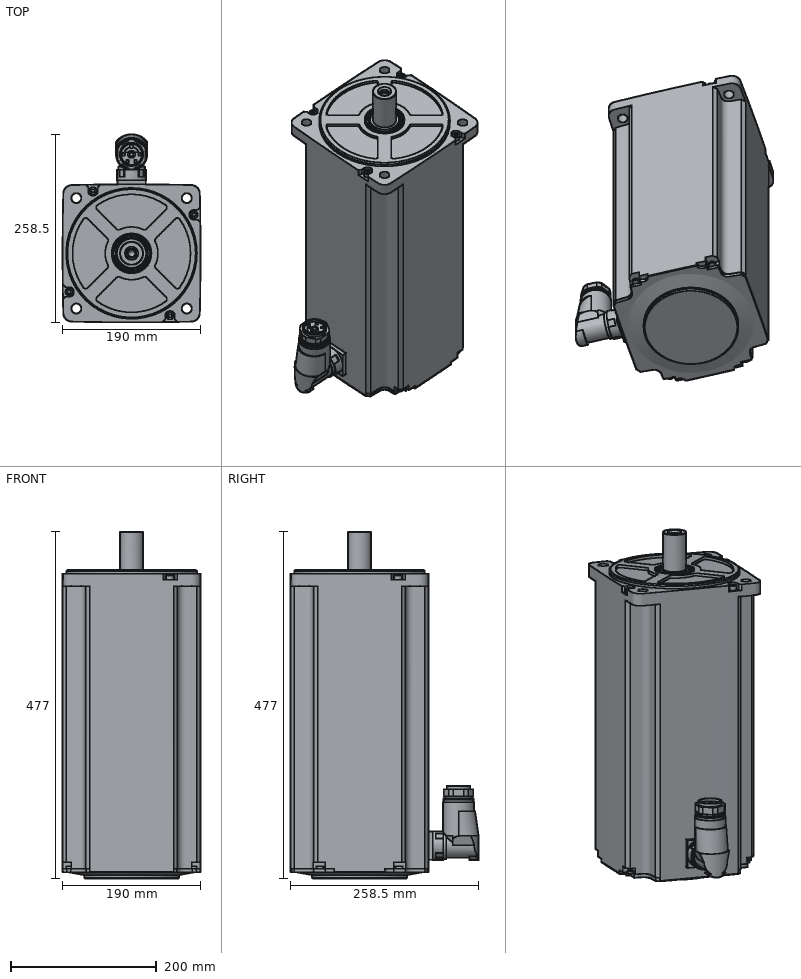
import cadquery as cq
import math

SHAFT_TOP_Z = 477.0
PILOT_TOP_Z = 424.5
FLANGE_TOP_Z = 419.5
FLANGE_BOTTOM_Z = 402.0
COVER_TOP_Z = 14.5
TONGUE_BOTTOM_Z = 10.0
COVER_BOTTOM_Z = 9.0
REAR_DISC_TOP_Z = 5.2

PANEL_CROWN = 95.0
PANEL_BOW_R = 3482.0
PANEL_HALF_WIDTH = 57.5
NOTCH_OUTER = 89.5
NOTCH_MOUTH = 63.0
NOTCH_FLOOR = 65.0
NOTCH_FILLET = 10.0

FLANGE_CORNER_R = 12.5
BOLT_OFFSET = 76.0
BOLT_D = 13.5
SCREW_ALONG = 53.0
SCREW_INSET = 86.0
SCREW_POCKET_D = 13.5
SCREW_POCKET_DEPTH = 8.5
SCREW_POCKET_FLARE = 3.0
SCREW_HEAD_D = 10.0
SCREW_HEAD_HEIGHT = 6.0
SCREW_SOCKET_D = 5.2
SCREW_SOCKET_DEPTH = 3.0

PILOT_D = 180.0
PILOT_CHAMFER = 2.0
RECESS_OUTER_R = 81.0
RECESS_INNER_R = 36.3
RECESS_DEPTH = 4.0
RECESS_CORNER_R = 4.0
SPOKE_WIDTH = 18.0

SEAL_STEPS = [(55.0, 52.0, 1.5), (52.0, 48.5, 4.0), (48.5, 44.0, 2.5), (44.0, 40.0, 4.0)]

SHAFT_D = 32.0
SHAFT_CHAMFER = 0.5
CENTRE_SINK_D = 18.0
CENTRE_RELIEF_D = 13.0
CENTRE_BORE_D = 10.0
CENTRE_SINK_DEPTH = 3.0
CENTRE_RELIEF_DEPTH = 6.5
CENTRE_BORE_DEPTH = 24.0

COVER_INSET = 0.7
TONGUE_HALF_WIDTH = 42.5
TONGUE_SCALLOP_R = 7.5
COVER_CONE_R = 86.0
REAR_DISC_D = 130.5
REAR_DISC_CHAMFER = 2.0
REAR_POCKET_START = 47.0
REAR_POCKET_FLOOR = 82.5
REAR_POCKET_TOP_Z = 23.0
REAR_SCREW_X = 84.5
REAR_SCREW_Y = 54.5
REAR_SCREW_HEIGHT = 3.5

CONNECTOR_AXIS_Z = 46.0
PLUG_AXIS_Y = 136.0
SEAT_Y = 93.0
BASE_TOP_Y = 100.5
COUPLING_TOP_Y = 115.0
COLLAR_TOP_Y = 119.2
BASE_SIZE = 39.0
COUPLING_D = 40.0
COUPLING_SLOT_WIDTH = 9.5
COUPLING_SLOT_DEPTH = 2.0
COUPLING_SLOT_START_Y = 105.0
COUPLING_FIRST_SLOT_ANGLE = 45
COLLAR_D = 37.0
ELBOW_D = 34.0
PLUG_D = 43.0
RING_D = 41.5
UNDERCUT_TOP_Z = 59.5
UNDERCUT_BOTTOM_D = 33.5
SKIRT_WIDTH = 43.5
SKIRT_START_Y = 136.5
SKIRT_TOP_Z = 93.0
SKIRT_TOP_SHOULDER_Y = 139.5
SKIRT_TOP_REAR_Y = 159.0
SKIRT_SHOULDER_Y = 147.5
SKIRT_REAR_Y = 163.5
REAR_SHOULDER_Y = 152.5
UNDERCUT_START_Y = 128.0
FOOT_D = 40.0
FOOT_START_Y = 150.5
FOOT_TOP_Z = 31.0

PLUG_TOP_Z = 105.5
RING_GROOVE_Z = 108.8
RING_GROOVE_HEIGHT = 1.0
RING_GROOVE_DEPTH = 1.5
RING_TOP_Z = 110.5
NUT_BOTTOM_Z = 113.5
NUT_TOP_Z = 123.5
SOCKET_TOP_Z = 128.0
NECK_D = 38.0
NUT_D = 41.0
NUT_ACROSS_FLATS = 38.5
SOCKET_D = 32.5
SOCKET_BORE_D = 28.5
SOCKET_BORE_DEPTH = 4.0
CONTACT_DEPTH = 5.0
CENTRE_CONTACT_D = 10.0
CENTRE_PIN_D = 5.2
KEY_STEP_D = 20.0
KEY_STEP_DEPTH = 1.5
KEY_STEP_OFFSET = 3.0
EARTH_CONTACT_D = 5.2
CONTACT_D = 4.0
CONTACT_CIRCLE_R = 11.0
EARTH_ANGLE = 90
CONTACT_ANGLES = [0, 180, 240, 300]

HEX_SIDES = 6
QUARTER_TURNS = [0, 90, 180, 270]


def bow_depth(across):
    """Distance of a bowed panel from the shaft axis, at a place across its width."""
    return PANEL_CROWN - PANEL_BOW_R + math.sqrt(PANEL_BOW_R**2 - across**2)


def bowed_square_corner():
    """Half side of the square whose corners lie on two neighbouring bowed panels."""
    depth = PANEL_BOW_R - PANEL_CROWN
    return (math.sqrt(2 * PANEL_BOW_R**2 - depth**2) - depth) / 2


FLANGE_HALF = bowed_square_corner()


def cylinder(diameter, bottom_z, top_z, x=0, y=0):
    """Upright cylinder between two heights."""
    return cq.Workplane("XY", (x, y, bottom_z)).circle(diameter / 2).extrude(top_z - bottom_z)


def cylinder_along_y(diameter, start_y, end_y):
    """Horizontal cylinder on the connector's elbow axis."""
    face = cq.Workplane("XZ", (0, start_y, CONNECTOR_AXIS_Z)).circle(diameter / 2)
    return face.extrude(start_y - end_y)


def box_between(x_range, y_range, z_range):
    """Box from its limits along X, Y and Z."""
    spans = [high - low for low, high in (x_range, y_range, z_range)]
    low_corner = (x_range[0], y_range[0], z_range[0])
    return cq.Workplane("XY").box(*spans, centered=False).translate(low_corner)


def turned(shape, angle):
    """Shape turned about the shaft axis."""
    return shape.rotate((0, 0, 0), (0, 0, 1), angle)


def turned_point(x, y, angle):
    """Point turned about the origin by a whole number of quarter turns."""
    c = round(math.cos(math.radians(angle)))
    s = round(math.sin(math.radians(angle)))
    return (c * x - s * y, s * x + c * y)


def section_prism(bottom_z, top_z, inset=0.0):
    """Prism of the housing section: the bowed panels and the corner notches."""
    edge = bow_depth(PANEL_HALF_WIDTH) - inset
    crown = PANEL_CROWN - inset
    half = PANEL_HALF_WIDTH - inset
    outline = cq.Workplane("XY", (0, 0, bottom_z)).moveTo(-half, -edge)
    floor = NOTCH_FLOOR - inset
    mouth = NOTCH_MOUTH - inset
    for angle in QUARTER_TURNS:
        outline = outline.threePointArc(turned_point(0, -crown, angle), turned_point(half, -edge, angle))
        outline = outline.lineTo(*turned_point(mouth, -NOTCH_OUTER, angle))
        outline = outline.lineTo(*turned_point(floor, -floor, angle))
        outline = outline.lineTo(*turned_point(NOTCH_OUTER, -mouth, angle))
        if angle != QUARTER_TURNS[-1]:
            outline = outline.lineTo(*turned_point(edge, -half, angle))
    prism = outline.close().extrude(top_z - bottom_z)
    for x in (-floor, floor):
        for y in (-floor, floor):
            corner = cq.selectors.NearestToPointSelector((x, y, (bottom_z + top_z) / 2))
            prism = prism.edges(corner).fillet(NOTCH_FILLET)
    return prism


def flange():
    """Bowed square mounting flange with its four bolt holes."""
    h = FLANGE_HALF
    plate = (
        cq.Workplane("XY", (0, 0, FLANGE_BOTTOM_Z))
        .moveTo(-h, -h)
        .threePointArc((0, -PANEL_CROWN), (h, -h))
        .threePointArc((PANEL_CROWN, 0), (h, h))
        .threePointArc((0, PANEL_CROWN), (-h, h))
        .threePointArc((-PANEL_CROWN, 0), (-h, -h))
        .close()
        .extrude(FLANGE_TOP_Z - FLANGE_BOTTOM_Z)
        .edges("|Z")
        .fillet(FLANGE_CORNER_R)
    )
    spacing = 2 * BOLT_OFFSET
    holes = cq.Workplane("XY", (0, 0, FLANGE_BOTTOM_Z)).rect(spacing, spacing, forConstruction=True)
    return plate.cut(holes.vertices().circle(BOLT_D / 2).extrude(FLANGE_TOP_Z - FLANGE_BOTTOM_Z))


def screw_pocket():
    """U-shaped pocket open to the flange side, flared at its mouth."""
    floor_z = FLANGE_TOP_Z - SCREW_POCKET_DEPTH
    half = SCREW_POCKET_D / 2
    mouth = half + SCREW_POCKET_FLARE
    flare_start = FLANGE_HALF - SCREW_POCKET_FLARE
    outline = (
        cq.Workplane("XY", (0, 0, floor_z))
        .moveTo(-SCREW_ALONG - half, SCREW_INSET)
        .lineTo(-SCREW_ALONG - half, flare_start)
        .lineTo(-SCREW_ALONG - mouth, FLANGE_HALF)
        .lineTo(-SCREW_ALONG - mouth, PANEL_CROWN)
        .lineTo(-SCREW_ALONG + mouth, PANEL_CROWN)
        .lineTo(-SCREW_ALONG + mouth, FLANGE_HALF)
        .lineTo(-SCREW_ALONG + half, flare_start)
        .lineTo(-SCREW_ALONG + half, SCREW_INSET)
        .threePointArc((-SCREW_ALONG, SCREW_INSET - half), (-SCREW_ALONG - half, SCREW_INSET))
        .close()
    )
    return outline.extrude(SCREW_POCKET_DEPTH)


def flange_screw():
    """Socket screw head standing in a flange pocket."""
    floor_z = FLANGE_TOP_Z - SCREW_POCKET_DEPTH
    head_z = floor_z + SCREW_HEAD_HEIGHT
    head = cylinder(SCREW_HEAD_D, floor_z, head_z, -SCREW_ALONG, SCREW_INSET)
    socket = cq.Workplane("XY", (-SCREW_ALONG, SCREW_INSET, head_z)).polygon(HEX_SIDES, SCREW_SOCKET_D)
    return head.cut(socket.extrude(-SCREW_SOCKET_DEPTH))


def pilot_recess():
    """Recess of the pilot disc in the +Y quarter, bounded by two diagonal spokes."""
    bottom_z = PILOT_TOP_Z - RECESS_DEPTH
    ring = cylinder(2 * RECESS_OUTER_R, bottom_z, PILOT_TOP_Z)
    ring = ring.cut(cylinder(2 * RECESS_INNER_R, bottom_z, PILOT_TOP_Z))
    apex = SPOKE_WIDTH / math.sqrt(2)
    reach = RECESS_OUTER_R + apex
    wedge = cq.Workplane("XY", (0, 0, bottom_z))
    wedge = wedge.polyline([(0, apex), (reach, apex + reach), (-reach, apex + reach)]).close()
    return ring.intersect(wedge.extrude(RECESS_DEPTH)).edges("|Z").fillet(RECESS_CORNER_R)


def pilot():
    """Pilot disc with its recesses and the stepped seal groove."""
    disc = cylinder(PILOT_D, FLANGE_TOP_Z, PILOT_TOP_Z).faces(">Z").edges().chamfer(PILOT_CHAMFER)
    for angle in QUARTER_TURNS:
        disc = disc.cut(turned(pilot_recess(), angle))
    for outer_d, inner_d, depth in SEAL_STEPS:
        step = cylinder(outer_d, PILOT_TOP_Z - depth, PILOT_TOP_Z)
        disc = disc.cut(step.cut(cylinder(inner_d, PILOT_TOP_Z - depth, PILOT_TOP_Z)))
    return disc


def shaft():
    """Shaft end with a protected centre hole."""
    end = cylinder(SHAFT_D, PILOT_TOP_Z, SHAFT_TOP_Z).faces(">Z").edges().chamfer(SHAFT_CHAMFER)
    bore_end_z = SHAFT_TOP_Z - CENTRE_BORE_DEPTH
    hole = (
        cq.Workplane("XZ")
        .moveTo(0, SHAFT_TOP_Z)
        .lineTo(CENTRE_SINK_D / 2, SHAFT_TOP_Z)
        .lineTo(CENTRE_RELIEF_D / 2, SHAFT_TOP_Z - CENTRE_SINK_DEPTH)
        .lineTo(CENTRE_RELIEF_D / 2, SHAFT_TOP_Z - CENTRE_RELIEF_DEPTH)
        .lineTo(CENTRE_BORE_D / 2, SHAFT_TOP_Z - CENTRE_RELIEF_DEPTH)
        .lineTo(CENTRE_BORE_D / 2, bore_end_z)
        .lineTo(0, bore_end_z - CENTRE_BORE_D / 2)
        .close()
        .revolve()
    )
    return end.cut(hole)


def rear_cover():
    """Cover plate, the panel tongues flush with it, its conical end and the rear disc."""
    cover = section_prism(COVER_BOTTOM_Z, COVER_TOP_Z, COVER_INSET)
    tongues = section_prism(TONGUE_BOTTOM_Z, COVER_TOP_Z)
    strip = (-TONGUE_HALF_WIDTH, TONGUE_HALF_WIDTH)
    full = (-PANEL_CROWN, PANEL_CROWN)
    sides = (-PANEL_HALF_WIDTH, PANEL_HALF_WIDTH)
    heights = (TONGUE_BOTTOM_Z, COVER_TOP_Z)
    tongues = tongues.intersect(box_between(sides, full, heights).union(box_between(full, strip, heights)))
    cover = cover.union(tongues)
    for x in full:
        for y in strip:
            cover = cover.cut(cylinder(2 * TONGUE_SCALLOP_R, COVER_BOTTOM_Z, COVER_TOP_Z, x, y))
    cone = cq.Workplane("XY", (0, 0, COVER_BOTTOM_Z)).circle(COVER_CONE_R)
    cone = cone.workplane(offset=REAR_DISC_TOP_Z - COVER_BOTTOM_Z).circle(REAR_DISC_D / 2).loft()
    disc = cylinder(REAR_DISC_D, 0, REAR_DISC_TOP_Z).faces("<Z").edges().chamfer(REAR_DISC_CHAMFER)
    return cover.union(cone).union(disc)


def housing():
    """Motor housing with flange, pilot, shaft end and rear cover."""
    body = section_prism(COVER_TOP_Z, FLANGE_BOTTOM_Z).union(flange()).union(pilot()).union(shaft())
    body = body.union(rear_cover())
    for angle in QUARTER_TURNS:
        body = body.cut(turned(screw_pocket(), angle)).union(turned(flange_screw(), angle))
    for x_side in (-1, 1):
        for y_side in (-1, 1):
            x_range = sorted((x_side * REAR_POCKET_FLOOR, x_side * PANEL_CROWN))
            relief_x = sorted((x_side * (REAR_POCKET_FLOOR + COVER_INSET), x_side * PANEL_CROWN))
            y_range = sorted((y_side * REAR_POCKET_START, y_side * NOTCH_FLOOR))
            body = body.cut(box_between(x_range, y_range, (COVER_TOP_Z, REAR_POCKET_TOP_Z)))
            body = body.cut(box_between(relief_x, y_range, (COVER_BOTTOM_Z, COVER_TOP_Z)))
            x = x_side * REAR_SCREW_X
            y = y_side * REAR_SCREW_Y
            head = cylinder(SCREW_HEAD_D, COVER_TOP_Z, COVER_TOP_Z + REAR_SCREW_HEIGHT, x, y)
            body = body.union(head)
    return body.cut(connector_base())


def connector_base():
    """Square foot of the connector, let into the crown of the +Y panel."""
    foot = cq.Workplane("XZ", (0, SEAT_Y, CONNECTOR_AXIS_Z)).rect(BASE_SIZE, BASE_SIZE)
    return foot.extrude(SEAT_Y - BASE_TOP_Y)


def coupling():
    """Round coupling nut with four grip slots, and the collar behind it."""
    nut = cylinder_along_y(COUPLING_D, BASE_TOP_Y, COUPLING_TOP_Y)
    slot = box_between(
        (COUPLING_D / 2 - COUPLING_SLOT_DEPTH, COUPLING_D),
        (COUPLING_SLOT_START_Y, COUPLING_TOP_Y),
        (CONNECTOR_AXIS_Z - COUPLING_SLOT_WIDTH / 2, CONNECTOR_AXIS_Z + COUPLING_SLOT_WIDTH / 2),
    )
    for angle in QUARTER_TURNS:
        slot_angle = angle + COUPLING_FIRST_SLOT_ANGLE
        nut = nut.cut(slot.rotate((0, 0, CONNECTOR_AXIS_Z), (0, 1, CONNECTOR_AXIS_Z), slot_angle))
    return nut.union(cylinder_along_y(COLLAR_D, COUPLING_TOP_Y, COLLAR_TOP_Y))


def skirt_outline(plane, start_y, shoulder_y, rear_y):
    """Straight-sided outline from a start plane to the rear, closed by a shallow arc at the rear."""
    half = SKIRT_WIDTH / 2
    return (
        plane.moveTo(-half, start_y)
        .lineTo(half, start_y)
        .lineTo(half, shoulder_y)
        .threePointArc((0, rear_y), (-half, shoulder_y))
        .close()
    )


def skirt():
    """Skirt behind the plug: it leans out to the rear and is undercut down to the barrel."""
    upper = cq.Workplane("XY", (0, 0, SKIRT_TOP_Z))
    upper = skirt_outline(upper, SKIRT_START_Y, SKIRT_TOP_SHOULDER_Y, SKIRT_TOP_REAR_Y)
    upper = upper.workplane(offset=UNDERCUT_TOP_Z - SKIRT_TOP_Z)
    upper = skirt_outline(upper, SKIRT_START_Y, SKIRT_SHOULDER_Y, SKIRT_REAR_Y).loft(ruled=True)
    top_half = SKIRT_WIDTH / 2
    bottom_half = UNDERCUT_BOTTOM_D / 2
    lower = cq.Workplane("XZ", (0, UNDERCUT_START_Y, 0)).polyline(
        [
            (-top_half, UNDERCUT_TOP_Z),
            (top_half, UNDERCUT_TOP_Z),
            (bottom_half, CONNECTOR_AXIS_Z),
            (-bottom_half, CONNECTOR_AXIS_Z),
        ]
    )
    lower = lower.close().extrude(UNDERCUT_START_Y - SKIRT_REAR_Y)
    limit = cylinder(PLUG_D, CONNECTOR_AXIS_Z, UNDERCUT_TOP_Z, 0, PLUG_AXIS_Y)
    limit = limit.union(rear_limit(SKIRT_START_Y))
    return upper.union(lower.intersect(limit))


def rear_limit(start_y):
    """Upright prism of the skirt's lower outline, which bounds the rear of the elbow."""
    outline = skirt_outline(cq.Workplane("XY"), start_y, REAR_SHOULDER_Y, SKIRT_REAR_Y)
    return outline.extrude(UNDERCUT_TOP_Z)


def elbow():
    """Horizontal barrel with a foot under its rear end, and the upright plug body with its skirt."""
    limit = rear_limit(COLLAR_TOP_Y)
    barrel = cylinder_along_y(ELBOW_D, COLLAR_TOP_Y, SKIRT_REAR_Y).intersect(limit)
    foot = cylinder_along_y(FOOT_D, FOOT_START_Y, SKIRT_REAR_Y).intersect(limit)
    sides = (-SKIRT_WIDTH / 2, SKIRT_WIDTH / 2)
    foot = foot.intersect(box_between(sides, (FOOT_START_Y, SKIRT_REAR_Y), (0, FOOT_TOP_Z)))
    plug = cylinder(PLUG_D, UNDERCUT_TOP_Z, PLUG_TOP_Z, 0, PLUG_AXIS_Y)
    undercut = cq.Workplane("XY", (0, PLUG_AXIS_Y, UNDERCUT_TOP_Z)).circle(PLUG_D / 2)
    undercut = undercut.workplane(offset=CONNECTOR_AXIS_Z - UNDERCUT_TOP_Z)
    undercut = undercut.circle(UNDERCUT_BOTTOM_D / 2).loft()
    return barrel.union(plug).union(undercut).union(skirt()).union(foot)


def plug_top():
    """Grooved ring, neck, flatted nut and contact socket above the plug body."""
    ring = cylinder(RING_D, PLUG_TOP_Z, RING_TOP_Z, 0, PLUG_AXIS_Y)
    groove_top_z = RING_GROOVE_Z + RING_GROOVE_HEIGHT
    groove = cylinder(RING_D, RING_GROOVE_Z, groove_top_z, 0, PLUG_AXIS_Y)
    core_d = RING_D - 2 * RING_GROOVE_DEPTH
    groove = groove.cut(cylinder(core_d, RING_GROOVE_Z, groove_top_z, 0, PLUG_AXIS_Y))
    neck = cylinder(NECK_D, RING_TOP_Z, NUT_BOTTOM_Z, 0, PLUG_AXIS_Y)
    nut = cylinder(NUT_D, NUT_BOTTOM_Z, NUT_TOP_Z, 0, PLUG_AXIS_Y)
    hexagon = cq.Workplane("XY", (0, PLUG_AXIS_Y, NUT_BOTTOM_Z))
    hexagon = hexagon.polygon(HEX_SIDES, NUT_ACROSS_FLATS, circumscribed=True)
    hexagon = hexagon.extrude(NUT_TOP_Z - NUT_BOTTOM_Z)
    socket = cylinder(SOCKET_D, NUT_TOP_Z, SOCKET_TOP_Z, 0, PLUG_AXIS_Y)
    top = ring.cut(groove).union(neck).union(nut.intersect(hexagon)).union(socket)
    return top.cut(contact_cavity())


def contact_cavity():
    """Socket bore with a keying step, the contact holes and a centre pin in its floor."""
    floor_z = SOCKET_TOP_Z - SOCKET_BORE_DEPTH
    bottom_z = floor_z - CONTACT_DEPTH
    cavity = cylinder(SOCKET_BORE_D, floor_z, SOCKET_TOP_Z, 0, PLUG_AXIS_Y)
    key_z = (floor_z - KEY_STEP_DEPTH, floor_z)
    key_y = (PLUG_AXIS_Y + KEY_STEP_OFFSET, PLUG_AXIS_Y + KEY_STEP_D)
    key_step = cylinder(KEY_STEP_D, *key_z, 0, PLUG_AXIS_Y)
    cavity = cavity.union(key_step.intersect(box_between((-KEY_STEP_D, KEY_STEP_D), key_y, key_z)))
    centre = cylinder(CENTRE_CONTACT_D, bottom_z, floor_z, 0, PLUG_AXIS_Y)
    cavity = cavity.union(centre).cut(cylinder(CENTRE_PIN_D, bottom_z, floor_z, 0, PLUG_AXIS_Y))
    contacts = [(EARTH_CONTACT_D, EARTH_ANGLE)] + [(CONTACT_D, angle) for angle in CONTACT_ANGLES]
    for diameter, angle in contacts:
        x = CONTACT_CIRCLE_R * math.cos(math.radians(angle))
        y = PLUG_AXIS_Y + CONTACT_CIRCLE_R * math.sin(math.radians(angle))
        cavity = cavity.union(cylinder(diameter, bottom_z, floor_z, x, y))
    return cavity


def connector():
    """Angled connector as one solid."""
    return connector_base().union(coupling()).union(elbow()).union(plug_top())


motor_housing = housing()
angled_connector = connector()

result = cq.Compound.makeCompound([motor_housing.solids().val(), angled_connector.solids().val()])